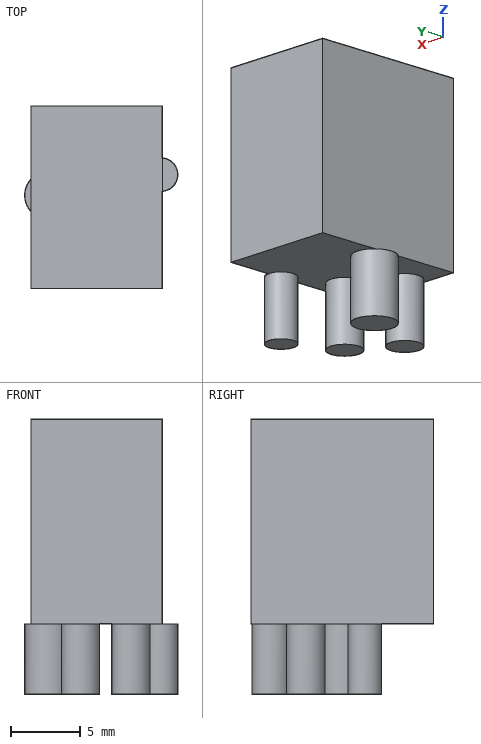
import cadquery as cq

total_height = 19.9
housing_width = 9.5
housing_depth = 13.2
pin_length = 5.1
housing_height = total_height - pin_length

large_diameter = 3.45
medium_diameter = 2.77
small_diameter = 2.43

large_pin_center = (-3.48, 0.14)
medium_pin_centers = [(-1.17, -5.15), (2.47, -2.65)]
small_pin_center = (4.65, 1.63)


def make_housing():
    """Plain block standing on the pin tops."""
    return (
        cq.Workplane("XY")
        .workplane(offset=pin_length)
        .rect(housing_width, housing_depth)
        .extrude(housing_height)
    )


def make_pin(center, diameter):
    """Straight round pin reaching up to the underside of the housing."""
    return cq.Workplane("XY").center(*center).circle(diameter / 2).extrude(pin_length)


housing = make_housing()
large_pin = make_pin(large_pin_center, large_diameter)
medium_pins = [make_pin(center, medium_diameter) for center in medium_pin_centers]
small_pin = make_pin(small_pin_center, small_diameter)

result = cq.Compound.makeCompound([
    housing.val(),
    large_pin.val(),
    *[pin.val() for pin in medium_pins],
    small_pin.val(),
])